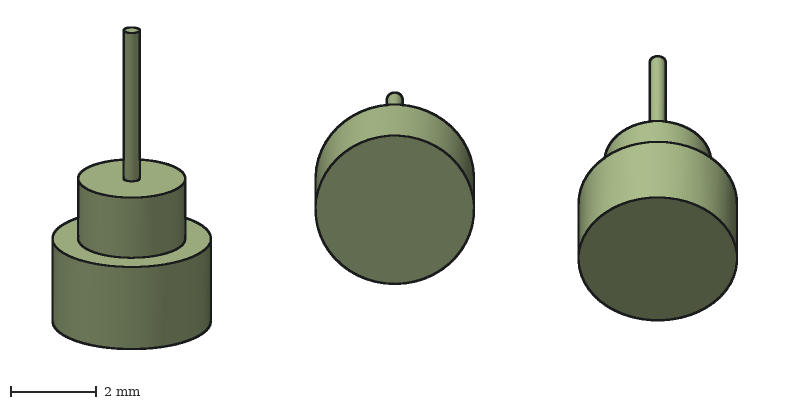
import cadquery as cq

total_height = 7.25
base_diameter = 3.7
base_height = 2.05
collar_diameter = 2.5
collar_height = 1.5
pin_diameter = 0.38

pin_height = total_height - base_height - collar_height


def add_cylinder(body, diameter, height):
    """Stack a coaxial cylinder on the top face of the body."""
    return body.faces(">Z").workplane().circle(diameter / 2).extrude(height)


base = cq.Workplane("XY").circle(base_diameter / 2).extrude(base_height)

with_collar = add_cylinder(base, collar_diameter, collar_height)
result = add_cylinder(with_collar, pin_diameter, pin_height)